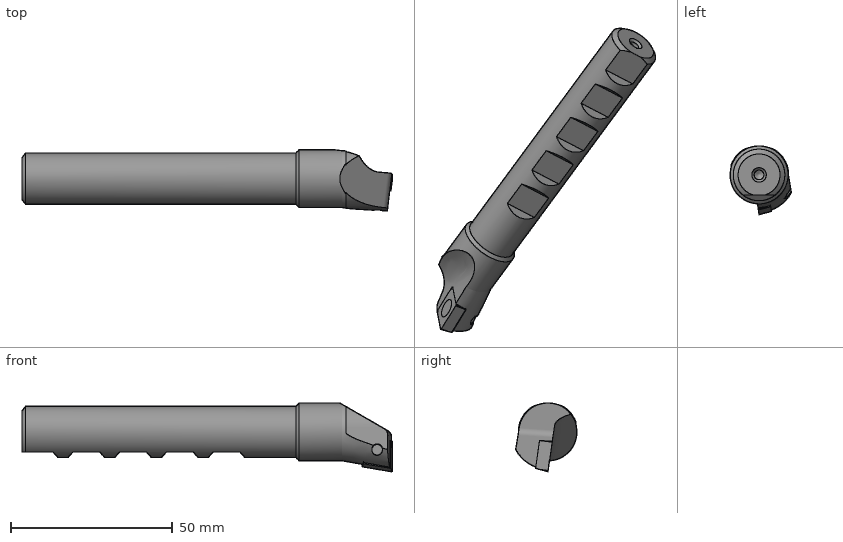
import cadquery as cq
import math

shank_radius = 8.0
shank_end_radius = 6.5
shank_chamfer_length = 1.15
collar_radius = 9.0
collar_start = 85.0
collar_chamfer = collar_radius - shank_radius

notch_floor_z = -6.3
notch_length = 8.4
notch_pitch = 14.5
first_notch_end = 9.7
notch_count = 5
notch_wall_angle = 48.0

centre_hole_radius = 1.5
centre_hole_depth = 6.0
centre_hole_tip_angle = 118.0
countersink_radius = 2.25

cone_start = 99.3
cone_half_angle = 9.8
flank_start = 100.5
head_tip = 114.75
cone_blank_end = 118.0
end_relief_angle = 6.5
top_slope_angle = 30.0
top_slope_start = 98.6
tip_round_radius = 2.5
flank_tilt = 9.6
flank_depth = collar_radius

rake_tilt = 8.0
rake_depth = -1.75

pocket_radius = 14.0
pocket_blend_x = 112.0
pocket_lean = 50.0
pocket_level = 3.0

insert_inscribed_diameter = 9.525
insert_corner_angle = 80.0
insert_thickness = 3.97
insert_relief = 7.0
insert_nose_radius = 0.4
insert_edge_slope = 9.7
insert_tip_x = 115.0
insert_tip_z = -12.38

screw_radius = 1.65
screw_head_radius = 2.9
screw_head_depth = 1.6
screw_length = 9.4

oversize = 60.0


def sind(angle):
    return math.sin(math.radians(angle))


def cosd(angle):
    return math.cos(math.radians(angle))


def tand(angle):
    return math.tan(math.radians(angle))


def tilted_plane(tilt, depth):
    """Plane that faces -Y and tilts up, at a distance from the axis; its local y is nearly Z."""
    facing = cq.Vector(0, -cosd(tilt), sind(tilt))
    return cq.Plane(origin=(facing * depth).toTuple(), xDir=(1, 0, 0), normal=facing.toTuple())


def side_cut(points):
    """Prism of an X-Z outline that runs right across the bar."""
    return cq.Workplane("XZ").polyline(points).close().extrude(oversize, both=True)


edge_length = insert_inscribed_diameter / sind(insert_corner_angle)
half_corner = insert_corner_angle / 2
long_half = edge_length * cosd(half_corner)
short_half = edge_length * sind(half_corner)
bisector = 180 - insert_edge_slope - half_corner
nose_to_centre = long_half - insert_nose_radius / sind(half_corner)
insert_x = insert_tip_x - insert_nose_radius + nose_to_centre * cosd(bisector)
nose_v = (insert_tip_z - rake_depth * sind(rake_tilt)) / cosd(rake_tilt) + insert_nose_radius
insert_v = nose_v + nose_to_centre * sind(bisector)


def make_insert_blank():
    corners = [(long_half, 0), (0, short_half), (-long_half, 0), (0, -short_half)]
    outline = cq.Sketch().polygon(corners + corners[:1]).vertices().fillet(insert_nose_radius)
    return (
        cq.Workplane(tilted_plane(rake_tilt, rake_depth))
        .center(insert_x, insert_v)
        .transformed(rotate=(0, 0, bisector))
        .placeSketch(outline)
        .extrude(insert_thickness, taper=insert_relief)
    )


def make_screw(length):
    """Countersunk screw, its head flush with the rake face."""
    half_profile = [
        (0, 0),
        (screw_head_radius, 0),
        (screw_radius, screw_head_depth),
        (screw_radius, length),
        (0, length),
    ]
    seat = tilted_plane(rake_tilt, rake_depth)
    centre = seat.toWorldCoords((insert_x, insert_v, 0))
    profile_plane = cq.Plane(origin=centre.toTuple(), xDir=(1, 0, 0), normal=(-seat.yDir).toTuple())
    return cq.Workplane(profile_plane).polyline(half_profile).close().revolve(360, (0, 0, 0), (0, 1, 0))


def make_bar():
    cone_end_radius = collar_radius + (cone_blank_end - cone_start) * tand(cone_half_angle)
    half_profile = [
        (0, 0),
        (0, shank_end_radius),
        (shank_chamfer_length, shank_radius),
        (collar_start, shank_radius),
        (collar_start + collar_chamfer, collar_radius),
        (cone_start, collar_radius),
        (cone_blank_end, cone_end_radius),
        (cone_blank_end, 0),
    ]
    return cq.Workplane("XZ").polyline(half_profile).close().revolve(360, (0, 0, 0), (1, 0, 0))


def cut_notches(bar):
    depth = shank_radius + notch_floor_z
    flare = depth / tand(notch_wall_angle)
    for index in range(notch_count):
        end = first_notch_end + index * notch_pitch
        start = end - notch_length
        if index == 0:
            start = -flare
        notch = side_cut(
            [
                (start, notch_floor_z),
                (end, notch_floor_z),
                (end + flare, -shank_radius),
                (start - flare, -shank_radius),
            ]
        )
        bar = bar.cut(notch)
    return bar


def make_centre_hole():
    tip_length = centre_hole_radius / tand(centre_hole_tip_angle / 2)
    half_profile = [
        (0, 0),
        (0, countersink_radius),
        (countersink_radius - centre_hole_radius, centre_hole_radius),
        (centre_hole_depth, centre_hole_radius),
        (centre_hole_depth + tip_length, 0),
    ]
    return cq.Workplane("XZ").polyline(half_profile).close().revolve(360, (0, 0, 0), (1, 0, 0))


def make_flank_cut():
    """Material outside both the collar's cylinder and the flat flank tangent to it."""
    length = oversize
    ring = cq.Workplane("YZ", origin=(flank_start, 0, 0)).circle(oversize).circle(collar_radius).extrude(length)
    beyond_flank = (
        cq.Workplane(tilted_plane(flank_tilt, flank_depth))
        .center(flank_start + length / 2, 0)
        .rect(length, 2 * oversize)
        .extrude(oversize)
    )
    above_tangent = (
        cq.Workplane(tilted_plane(flank_tilt, -oversize))
        .center(flank_start + length / 2, oversize / 2)
        .rect(length, oversize)
        .extrude(2 * oversize)
    )
    return ring.intersect(above_tangent).union(beyond_flank)


def swept_both_ways(outline, direction):
    """Prism of a closed outline, pushed far along a slanting direction and as far back."""
    reach = direction * oversize
    forward = cq.Solid.extrudeLinear(outline, [], reach)
    backward = cq.Solid.extrudeLinear(outline, [], reach * -1)
    return cq.Workplane(forward.fuse(backward))


def make_top_cut():
    """Everything above the sloping top face."""
    drop = oversize * tand(top_slope_angle)
    return side_cut(
        [
            (top_slope_start - oversize, collar_radius + drop),
            (top_slope_start + oversize, collar_radius - drop),
            (top_slope_start + oversize, collar_radius + drop),
        ]
    )


def make_end_cut():
    """Everything beyond the end face, which leans back from the rake face to the flank."""
    outline = cq.Workplane("XZ", origin=(head_tip + oversize, -rake_depth, 0)).rect(2 * oversize, 2 * oversize)
    return swept_both_ways(outline.val(), cq.Vector(tand(end_relief_angle), 1, 0))


def make_chip_pocket():
    """Pocket with a flat floor in the rake plane and a round end that leans along the bar."""
    floor_y = -rake_depth / cosd(rake_tilt) + pocket_level * tand(rake_tilt)
    outline = (
        cq.Workplane("XY", origin=(0, 0, pocket_level))
        .moveTo(pocket_blend_x + oversize, floor_y)
        .lineTo(pocket_blend_x, floor_y)
        .radiusArc((pocket_blend_x - pocket_radius, floor_y + pocket_radius), pocket_radius)
        .lineTo(pocket_blend_x - pocket_radius, floor_y + oversize)
        .lineTo(pocket_blend_x + oversize, floor_y + oversize)
        .close()
        .val()
    )
    return swept_both_ways(outline, cq.Vector(tand(pocket_lean), tand(rake_tilt), 1))


insert_blank = make_insert_blank()
screw = make_screw(screw_length)
screw_bore = make_screw(oversize)
insert = insert_blank.cut(screw)

holder = cut_notches(make_bar()).cut(make_centre_hole())
holder = holder.cut(make_top_cut()).cut(make_end_cut())
holder = holder.faces(">X").edges(">Z").fillet(tip_round_radius)
holder = holder.cut(make_flank_cut()).cut(make_chip_pocket())
holder = holder.cut(insert_blank).cut(screw_bore)

result = cq.Compound.makeCompound([holder.val(), insert.val(), screw.val()])